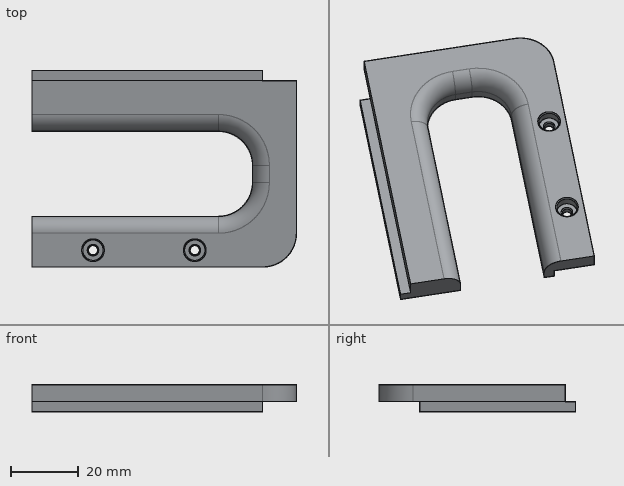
import cadquery as cq

plate_length = 78.0
plate_width = 55.0
plate_thickness = 5.0
corner_radius = 10.0

base_length = plate_length - corner_radius
base_front = 12.0
ledge_width = 3.0
base_thickness = 3.0
base_width = plate_width + ledge_width - base_front
total_height = base_thickness + plate_thickness

slot_front = 15.0
slot_width = 25.0
slot_length = 65.0
slot_corner_radius = 10.0
rim_radius = plate_thickness

first_hole_x = 18.0
hole_spacing = 30.0
hole_count = 2
hole_y = 5.0
hole_diameter = 2.7
counterbore_diameter = 6.0
counterbore_depth = 3.0
hole_chamfer = 0.35


def block(length, width, height, y, z):
    """Box starting at the left end face, with its front lower edge at the given y and z."""
    return cq.Workplane("XY").box(length, width, height, centered=False).translate((0, y, z))


def make_body():
    plate = block(plate_length, plate_width, plate_thickness, 0, base_thickness)
    plate = plate.edges("|Z and >X and <Y").fillet(corner_radius)
    base = block(base_length, base_width, base_thickness, base_front, 0)
    return plate.union(base)


def cut_slot(body):
    slot = block(slot_length, slot_width, total_height, slot_front, 0)
    slot = slot.edges("|Z and >X").fillet(slot_corner_radius)
    return body.cut(slot)


def round_slot_rim(body):
    slot_middle_y = slot_front + slot_width / 2
    rim_point = (slot_length, slot_middle_y, total_height)
    return body.edges(cq.selectors.NearestToPointSelector(rim_point)).fillet(rim_radius)


def chamfered_bore(diameter, mouth_z, bottom_z):
    """Cutter for a vertical round bore with a chamfered upper mouth."""
    radius = diameter / 2
    mouth_radius = radius + hole_chamfer
    return (
        cq.Workplane("XZ")
        .moveTo(0, bottom_z)
        .lineTo(radius, bottom_z)
        .lineTo(radius, mouth_z - hole_chamfer)
        .lineTo(mouth_radius, mouth_z)
        .lineTo(0, mouth_z)
        .close()
        .revolve(360, (0, 0, 0), (0, 1, 0))
    )


def drill_holes(body):
    seat_z = total_height - counterbore_depth
    counterbore = chamfered_bore(counterbore_diameter, total_height, seat_z)
    through_hole = chamfered_bore(hole_diameter, seat_z, 0)
    screw_hole = counterbore.union(through_hole)
    for i in range(hole_count):
        body = body.cut(screw_hole.translate((first_hole_x + i * hole_spacing, hole_y, 0)))
    return body


result = drill_holes(round_slot_rim(cut_slot(make_body())))